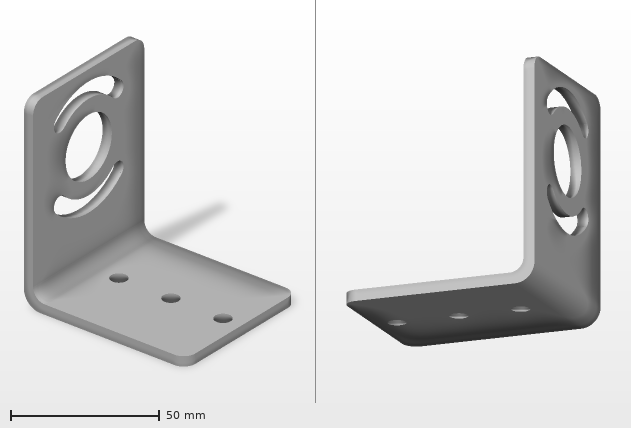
import cadquery as cq
import math

length = 70.0
width = 60.0
height = 80.0
thickness = 4.0
outer_bend_radius = 7.0
inner_bend_radius = 5.0
corner_radius = 5.0

base_hole_diameter = 6.6
base_hole_pitch = 22.5
middle_hole_x = 39.5

bore_diameter = 25.0
bore_height = height - width / 2
slot_inner_radius = 18.6
slot_outer_radius = 25.3
slot_end_diameter = 6.6
slot_end_angle = math.radians(45)


def make_bent_plate():
    """Sheet folded along Y, with the upright at X = 0 and the base at Z = 0."""
    plate = (
        cq.Workplane("XZ")
        .polyline([
            (0, 0), (length, 0), (length, thickness),
            (thickness, thickness), (thickness, height), (0, height),
        ])
        .close()
        .extrude(width / 2, both=True)
    )
    plate = plate.edges(cq.selectors.NearestToPointSelector((0, 0, 0))).fillet(outer_bend_radius)
    inner_edge = cq.selectors.NearestToPointSelector((thickness, 0, thickness))
    plate = plate.edges(inner_edge).fillet(inner_bend_radius)
    plate = plate.faces(">X").edges("|Z").fillet(corner_radius)
    return plate.faces(">Z").edges("|X").fillet(corner_radius)


def make_base_holes():
    centers = [(middle_hole_x + i * base_hole_pitch, 0) for i in (-1, 0, 1)]
    return cq.Workplane("XY").pushPoints(centers).circle(base_hole_diameter / 2).extrude(thickness)


def upright_plane():
    """Outside face of the upright, centred on the bore: local x is Y, local y is Z."""
    return cq.Workplane("YZ", origin=(0, 0, bore_height))


def make_slot(side):
    """Curved slot with round ends; side is 1 above the bore and -1 below it."""
    middle_radius = (slot_inner_radius + slot_outer_radius) / 2
    far_angle = math.pi - slot_end_angle

    def arc_point(radius, angle):
        return (radius * math.cos(angle), side * radius * math.sin(angle))

    band = (
        upright_plane()
        .moveTo(*arc_point(slot_outer_radius, slot_end_angle))
        .threePointArc((0, side * slot_outer_radius), arc_point(slot_outer_radius, far_angle))
        .lineTo(*arc_point(slot_inner_radius, far_angle))
        .threePointArc((0, side * slot_inner_radius), arc_point(slot_inner_radius, slot_end_angle))
        .close()
        .extrude(thickness)
    )
    end_centers = [arc_point(middle_radius, angle) for angle in (slot_end_angle, far_angle)]
    ends = upright_plane().pushPoints(end_centers).circle(slot_end_diameter / 2).extrude(thickness)
    return band.union(ends)


bore = upright_plane().circle(bore_diameter / 2).extrude(thickness)

result = make_bent_plate().cut(make_base_holes()).cut(bore)
for slot_side in (1, -1):
    result = result.cut(make_slot(slot_side))